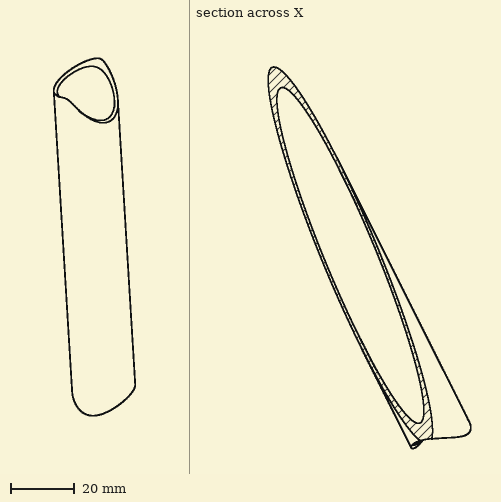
import cadquery as cq

TUBE_RADIUS = 10.0
WALL = 1.1
TUBE_CENTER = cq.Vector(0.7, -0.3, 0)
TUBE_DIRECTION = cq.Vector(0.17, -0.44, 1).normalized()
BLANK_LENGTH = 194.8

UPPER_SADDLE_DISTANCE = 74.2
LOWER_SADDLE_DISTANCE = 82.1
UPPER_SADDLE_RADIUS = 10.2
UPPER_SADDLE_POINT = TUBE_CENTER + TUBE_DIRECTION * UPPER_SADDLE_DISTANCE
UPPER_SADDLE_DIRECTION = cq.Vector(1, 0.08, -0.55).normalized()
LOWER_SADDLE_RADIUS = 13.6
LOWER_SADDLE_POINT = TUBE_CENTER - TUBE_DIRECTION * LOWER_SADDLE_DISTANCE
LOWER_SADDLE_DIRECTION = cq.Vector(1, -0.12, -0.11).normalized()
CUTTER_LENGTH = 111.3
CLEARANCE = 83.5


def centered_cylinder(radius, length, center, direction):
    """Cylinder of the given length centered on a point of its axis."""
    start = center - direction * (length / 2)
    return cq.Solid.makeCylinder(radius, length, start, direction)


def tube_blank():
    outer = centered_cylinder(TUBE_RADIUS, BLANK_LENGTH, TUBE_CENTER, TUBE_DIRECTION)
    bore = centered_cylinder(TUBE_RADIUS - WALL, BLANK_LENGTH, TUBE_CENTER, TUBE_DIRECTION)
    return cq.Workplane(obj=outer).cut(cq.Workplane(obj=bore))


def saddle_cutter(radius, point, direction, outward):
    """Saddle cylinder widened into a slot that clears everything beyond its axis."""
    plane = cq.Plane(origin=point, xDir=outward - direction * outward.dot(direction), normal=direction)
    return (
        cq.Workplane(plane)
        .moveTo(0, radius)
        .lineTo(CLEARANCE, radius)
        .lineTo(CLEARANCE, -radius)
        .lineTo(0, -radius)
        .threePointArc((-radius, 0), (0, radius))
        .close()
        .extrude(CUTTER_LENGTH / 2, both=True)
    )


upper_cutter = saddle_cutter(
    UPPER_SADDLE_RADIUS, UPPER_SADDLE_POINT, UPPER_SADDLE_DIRECTION, TUBE_DIRECTION
)
lower_cutter = saddle_cutter(
    LOWER_SADDLE_RADIUS, LOWER_SADDLE_POINT, LOWER_SADDLE_DIRECTION, -TUBE_DIRECTION
)
result = tube_blank().cut(upper_cutter).cut(lower_cutter)